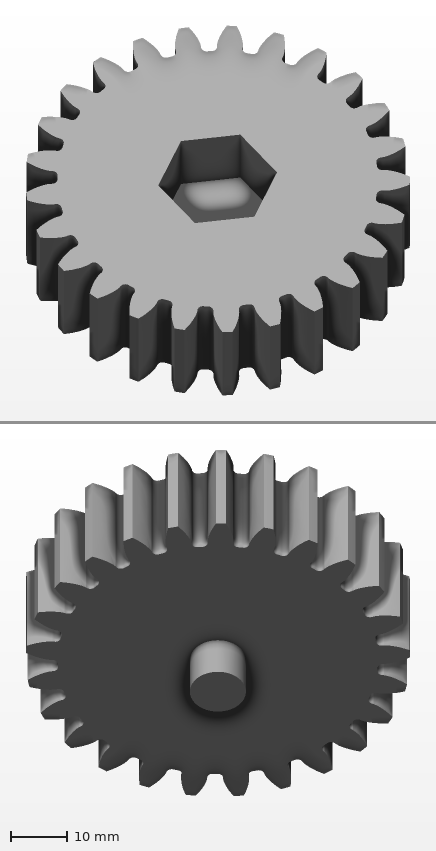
import cadquery as cq
import math

tooth_count = 25
module = 2.54
addendum = module
dedendum = 1.25 * module
pressure_angle = math.radians(20)
root_fillet_radius = 0.38 * module
first_tooth_angle = math.pi
flank_intervals = 6

pitch_radius = tooth_count * module / 2
base_radius = pitch_radius * math.cos(pressure_angle)
tip_radius = pitch_radius + addendum
root_radius = pitch_radius - dedendum
tooth_pitch_angle = 2 * math.pi / tooth_count

socket_across_flats = 18.5
socket_depth = 12.7
socket_floor_thickness = 6.0
gear_thickness = socket_depth + socket_floor_thickness

shaft_diameter = 10.0
shaft_length = 8.0


def polar(radius, angle):
    return (radius * math.cos(angle), radius * math.sin(angle))


def involute(angle):
    return math.tan(angle) - angle


def tooth_half_angle(radius):
    """Half of the angle that one tooth spans at a radius on its involute flanks."""
    roll = math.acos(base_radius / radius)
    return tooth_pitch_angle / 4 + involute(pressure_angle) - involute(roll)


base_half_angle = tooth_half_angle(base_radius)
fillet_center_radius = root_radius + root_fillet_radius
fillet_span_angle = math.asin(root_fillet_radius / fillet_center_radius)
fillet_end_radius = fillet_center_radius * math.cos(fillet_span_angle)
root_half_angle = base_half_angle + fillet_span_angle
fillet_middle_turn = (3 * math.pi / 2 + fillet_span_angle) / 2


def fillet_middle(tooth_angle, side):
    """Middle of the root fillet on one side (-1 or +1) of a tooth."""
    fillet_angle = tooth_angle + side * root_half_angle
    center_x, center_y = polar(fillet_center_radius, fillet_angle)
    offset_x, offset_y = polar(root_fillet_radius, fillet_angle - side * fillet_middle_turn)
    return (center_x + offset_x, center_y + offset_y)


def add_tooth(outline, tooth_angle):
    """Draw one tooth and the root that follows it, counter-clockwise."""
    flank_step = (tip_radius - base_radius) / flank_intervals
    flank_radii = [base_radius + i * flank_step for i in range(flank_intervals + 1)]
    rising = [polar(r, tooth_angle - tooth_half_angle(r)) for r in flank_radii]
    falling = [polar(r, tooth_angle + tooth_half_angle(r)) for r in reversed(flank_radii)]
    root_middle = polar(root_radius, tooth_angle + tooth_pitch_angle / 2)
    root_end = polar(root_radius, tooth_angle + tooth_pitch_angle - root_half_angle)

    return (
        outline
        .threePointArc(fillet_middle(tooth_angle, -1),
                       polar(fillet_end_radius, tooth_angle - base_half_angle))
        .lineTo(*rising[0])
        .spline(rising[1:], includeCurrent=True)
        .threePointArc(polar(tip_radius, tooth_angle), falling[0])
        .spline(falling[1:], includeCurrent=True)
        .lineTo(*polar(fillet_end_radius, tooth_angle + base_half_angle))
        .threePointArc(fillet_middle(tooth_angle, 1),
                       polar(root_radius, tooth_angle + root_half_angle))
        .threePointArc(root_middle, root_end)
    )


def make_gear():
    outline = cq.Workplane("XY").moveTo(*polar(root_radius, first_tooth_angle - root_half_angle))
    for tooth in range(tooth_count):
        outline = add_tooth(outline, first_tooth_angle + tooth * tooth_pitch_angle)
    return outline.close().extrude(gear_thickness)


def make_socket():
    side_count = 6
    corner_radius = socket_across_flats / (2 * math.cos(math.pi / side_count))
    step = 2 * math.pi / side_count
    corners = [polar(corner_radius, math.pi / 2 + i * step) for i in range(side_count)]
    return (
        cq.Workplane("XY", origin=(0, 0, socket_floor_thickness))
        .polyline(corners)
        .close()
        .extrude(socket_depth)
    )


def make_shaft():
    return cq.Workplane("XY").circle(shaft_diameter / 2).extrude(-shaft_length)


result = make_gear().cut(make_socket()).union(make_shaft())